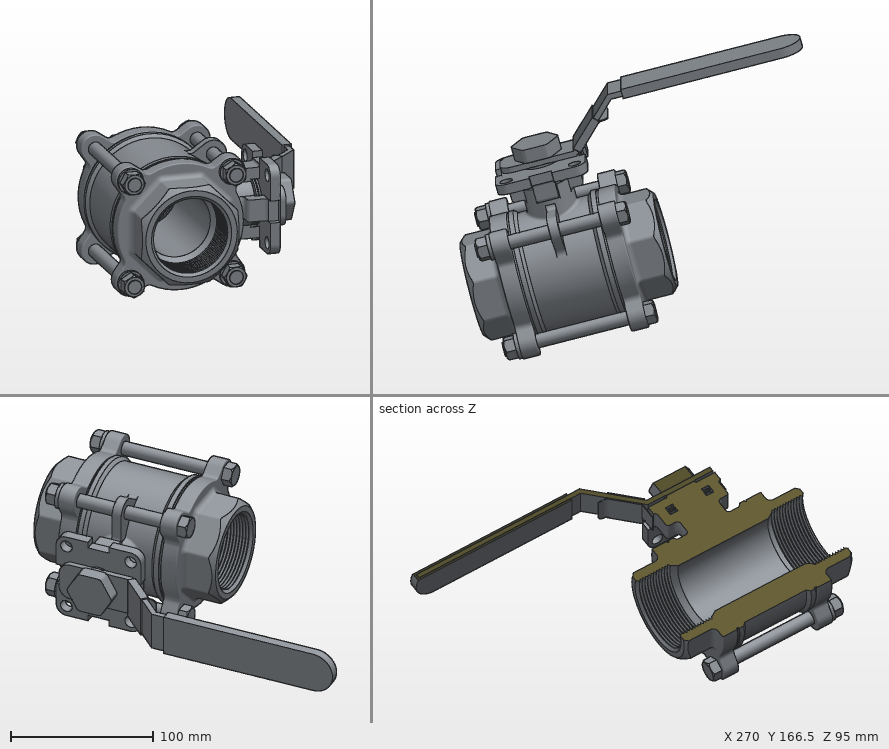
import cadquery as cq
import math


VALVE_HALF_LENGTH = 70.2
BORE_DIAMETER = 49.0
BODY_DIAMETER = 88.0
FLANGE_DIAMETER = 93.0
CAP_FLANGE_INNER = 33.2
CAP_FLANGE_OUTER = 45.5
FLANGE_EDGE_RADIUS = 0.8
JOINT_GROOVE_WIDTH = 1.4
JOINT_GROOVE_DEPTH = 1.0
COLLAR_CYLINDER_END = 28.0
COLLAR_TAPER_END = 25.6

OCTAGON_ACROSS_FLATS = 71.3
OCTAGON_CORNER_RADIUS = 3.2
OCTAGON_ROOT_RADIUS = 4.0
OCTAGON_FACE_DIAMETER = 67.5
THREAD_CREST_DIAMETER = 54.8
THREAD_ROOT_DIAMETER = 58.0
THREAD_MOUTH_DIAMETER = 59.0
THREAD_PITCH = 2.32
THREAD_TURNS = 11
THREAD_SEAT_LENGTH = 4.9

BOLT_OFFSET = 37.5
EAR_RADIUS = 10.0
EAR_ROOT_REACH = 37.3
EAR_FLANK_TAPER = 10.4
EAR_FILLET = 4.9
ROD_DIAMETER = 10.0
HEAD_ACROSS_FLATS = 14.5
HEAD_HEIGHT = 7.3
HEAD_FACE_DIAMETER = 14.3
WASHER_DIAMETER = 18.4
WASHER_THICKNESS = 2.7
NUT_HEIGHT = 7.8
ROD_OVERHANG = 1.0
LUG_WIDTH = 7.0
LUG_NECK_FILLET = 3.5

NECK_DIAMETER = 36.0
NECK_TOP = 64.0
NECK_FILLET = 2.2
GLAND_DIAMETER = 28.0
SPRING_DIAMETER = 36.0
SPRING_THICKNESS = 1.4
SPRING_COUNT = 2
SPRING_CHAMBER_DIAMETER = 38.5
PLATE_BOTTOM = 70.5
PLATE_TOP = 77.8
PLATE_HALF_SIDE = 32.7
PLATE_CORNER_RADIUS = 7.8
PLATE_HOLE_OFFSET = 24.8
PLATE_HOLE_DIAMETER = 9.0
RIB_REACH = 26.0
RIB_WIDTH = 16.2
RIB_BOTTOM = 56.2
RIB_EDGE_RADIUS = 2.2
RIB_PLATE_FILLET = 2.2
RIB_NECK_FILLET = 2.7

LEVER_THICKNESS = 4.0
LEVER_WIDTH = 28.0
LEVER_LOW_Y = 81.5
LEVER_HIGH_Y = 115.5
LEVER_FOOT_END = 27.8
LEVER_FOOT_CORNER = 8.6
LEVER_BEND_ANGLE = 45
LOW_KNEE_X = -26.2
LEVER_TIP_INSET = 1.4
GRIP_THICKNESS = 7.0
GRIP_WIDTH = 30.2
GRIP_TIP = -199.8
GRIP_MOUTH = -69.5

SLIDE_WALL = 0.95
SLIDE_START = 2.7
SLIDE_END = 29.2
TAB_TIP = -55.0
TAB_ROOT = -47.5
TAB_Y = 100.2
TAB_CORNER_RADIUS = 4.0
TAB_BEND_RADIUS = 5.5
SHEET = 0.8
LEG_X = -30.0
LEG_TOP = 82.0
LEG_BOTTOM = 68.0
LEG_SHOULDER_Y = 78.3
LEG_SHOULDER_WIDTH = 17.0
LEG_TIP_WIDTH = 15.5

STEM_NUT_ACROSS_FLATS = 30.2
STEM_NUT_HEIGHT = 10.0
STEM_NUT_CORNER_RADIUS = 3.5

LEVER_UNDERSIDE = LEVER_LOW_Y - LEVER_THICKNESS / 2
LEVER_TOPSIDE = LEVER_LOW_Y + LEVER_THICKNESS / 2
HIGH_KNEE_X = LOW_KNEE_X - (LEVER_HIGH_Y - LEVER_LOW_Y) / math.tan(math.radians(LEVER_BEND_ANGLE))
BOLT_RADIUS = BOLT_OFFSET * math.sqrt(2)
HEXAGON_CORNER_RATIO = 1 / math.cos(math.pi / 6)
OCTAGON_HALF_STEP = 180 / 8
OCTAGON_CORNER_RATIO = 1 / math.cos(math.radians(OCTAGON_HALF_STEP))
EAR_ANGLES = (45, 135, 225, 315)
LUG_ANGLES = (45, 315)
QUARTER_TURNS = (0, 90, 180, 270)

TOLERANCE = 0.03


def disc_x(x_start, x_end, diameter):
    """Cylinder along X on the bore axis."""
    return cq.Workplane("YZ", origin=(x_start, 0, 0)).circle(diameter / 2).extrude(x_end - x_start)


def disc_y(y_start, y_end, diameter):
    """Cylinder along Y on the stem axis."""
    return cq.Workplane("XZ", origin=(0, y_start, 0)).circle(diameter / 2).extrude(y_start - y_end)


def block(x_range, y_range, z_range):
    """Box given by its limits along each axis."""
    sizes = [high - low for low, high in (x_range, y_range, z_range)]
    return cq.Workplane("XY", origin=(x_range[0], y_range[0], z_range[0])).box(*sizes, centered=False)


def zone_around(center, *sizes):
    """Selector for edges whose centers lie in a box of the given sizes."""
    low = tuple(middle - size / 2 for middle, size in zip(center, sizes))
    high = tuple(middle + size / 2 for middle, size in zip(center, sizes))
    return cq.selectors.BoxSelector(low, high)


def turn_down(bar, face_x, root_x, face_diameter):
    """Trim the corners of a bar along X with a 45-degree cone, leaving a round face at face_x."""
    length = abs(face_x - root_x)
    cone = (
        cq.Workplane("YZ", origin=(root_x, 0, 0))
        .circle(face_diameter / 2 + length)
        .workplane(offset=face_x - root_x)
        .circle(face_diameter / 2)
        .loft()
    )
    return bar.intersect(cone)


def ear(x_start, x_end, angle):
    """Bolt ear: a rounded tip on flanks that widen toward the bore axis."""
    taper = math.radians(EAR_FLANK_TAPER)
    tip_reach = BOLT_RADIUS + EAR_RADIUS * math.sin(taper)
    tip_half = EAR_RADIUS * math.cos(taper)
    root_half = tip_half + (tip_reach - EAR_ROOT_REACH) * math.tan(taper)
    outline = (
        cq.Workplane("YZ", origin=(x_start, 0, 0))
        .moveTo(EAR_ROOT_REACH, -root_half)
        .lineTo(tip_reach, -tip_half)
        .threePointArc((BOLT_RADIUS + EAR_RADIUS, 0), (tip_reach, tip_half))
        .lineTo(EAR_ROOT_REACH, root_half)
        .close()
    )
    return outline.extrude(x_end - x_start).rotate((0, 0, 0), (1, 0, 0), angle)


def eared_disc(x_start, x_end, diameter, ear_angles):
    """Disc with bolt ears whose roots are blended into its rim."""
    disc = disc_x(x_start, x_end, diameter)
    for angle in ear_angles:
        disc = disc.union(ear(x_start, x_end, angle))

    def is_ear_root(edge):
        center = edge.Center()
        on_rim = abs(math.hypot(center.y, center.z) - diameter / 2) < TOLERANCE
        off_axes = min(abs(center.y), abs(center.z)) > TOLERANCE
        return on_rim and off_axes

    roots = [edge for edge in disc.edges("|X").vals() if is_ear_root(edge)]
    return disc.newObject(roots).fillet(EAR_FILLET)


def thread_cutter():
    """Ring-grooved cutter for the right-hand cap thread, with a conical seat and a chamfered mouth."""
    crest = THREAD_CREST_DIAMETER / 2
    root = THREAD_ROOT_DIAMETER / 2
    mouth = THREAD_MOUTH_DIAMETER / 2
    depth_end = VALVE_HALF_LENGTH - THREAD_PITCH * THREAD_TURNS - (mouth - crest)
    seat_end = depth_end - THREAD_SEAT_LENGTH
    outline = [(seat_end, 0), (seat_end, BORE_DIAMETER / 2), (depth_end, crest)]
    for turn in range(THREAD_TURNS):
        groove_start = depth_end + turn * THREAD_PITCH
        outline.append((groove_start + THREAD_PITCH / 2, root))
        outline.append((groove_start + THREAD_PITCH, crest))
    outline += [(VALVE_HALF_LENGTH, mouth), (VALVE_HALF_LENGTH, 0)]
    return cq.Workplane("XY").polyline(outline).close().revolve(360, (0, 0, 0), (1, 0, 0))


def make_cap():
    """Right-hand end cap: eared flange, octagon end and thread."""
    flange = eared_disc(CAP_FLANGE_INNER, CAP_FLANGE_OUTER, FLANGE_DIAMETER, EAR_ANGLES)
    flange = flange.faces("<X or >X").edges().fillet(FLANGE_EDGE_RADIUS)
    octagon = (
        cq.Workplane("YZ", origin=(CAP_FLANGE_OUTER, 0, 0))
        .polygon(8, OCTAGON_ACROSS_FLATS * OCTAGON_CORNER_RATIO)
        .extrude(VALVE_HALF_LENGTH - CAP_FLANGE_OUTER)
        .rotate((0, 0, 0), (1, 0, 0), OCTAGON_HALF_STEP)
        .edges("|X")
        .fillet(OCTAGON_CORNER_RADIUS)
    )
    octagon = turn_down(octagon, VALVE_HALF_LENGTH, CAP_FLANGE_OUTER, OCTAGON_FACE_DIAMETER)
    cap = flange.union(octagon)
    root_zone = zone_around((CAP_FLANGE_OUTER, 0, 0), TOLERANCE, OCTAGON_ACROSS_FLATS, OCTAGON_ACROSS_FLATS)
    return cap.edges(root_zone).fillet(OCTAGON_ROOT_RADIUS).cut(thread_cutter())


def make_body_barrel():
    """Central barrel with a tapered collar and a joint groove at each end."""
    barrel_radius = BODY_DIAMETER / 2
    collar_radius = FLANGE_DIAMETER / 2
    groove_radius = collar_radius - JOINT_GROOVE_DEPTH
    groove_start = CAP_FLANGE_INNER - JOINT_GROOVE_WIDTH
    half_outline = [
        (COLLAR_TAPER_END, barrel_radius),
        (COLLAR_CYLINDER_END, collar_radius),
        (groove_start, collar_radius),
        (groove_start, groove_radius),
        (CAP_FLANGE_INNER, groove_radius),
        (CAP_FLANGE_INNER, 0),
    ]
    outline = half_outline + [(-x, radius) for x, radius in reversed(half_outline)]
    return cq.Workplane("XY").polyline(outline).close().revolve(360, (0, 0, 0), (1, 0, 0))


def make_lugs():
    """Middle lugs around the two bolts beside the neck, tied to the neck by a flat web."""
    lugs = eared_disc(-LUG_WIDTH / 2, LUG_WIDTH / 2, BODY_DIAMETER, LUG_ANGLES)
    edge_y = BOLT_OFFSET + EAR_RADIUS
    neck_z = NECK_DIAMETER / 2
    for side in (1, -1):
        web = (
            cq.Workplane("YZ", origin=(-LUG_WIDTH / 2, 0, 0))
            .moveTo(0, 0)
            .lineTo(edge_y + LUG_NECK_FILLET, 0)
            .lineTo(edge_y + LUG_NECK_FILLET, side * neck_z)
            .radiusArc((edge_y, side * (neck_z + LUG_NECK_FILLET)), side * LUG_NECK_FILLET)
            .lineTo(edge_y, side * BOLT_OFFSET)
            .lineTo(BOLT_OFFSET, side * BOLT_OFFSET)
            .close()
            .extrude(LUG_WIDTH)
        )
        lugs = lugs.union(web)
    return lugs


def make_ribbed_neck():
    """Upper half of the neck with four ribs that carry the actuator plate."""
    rib = (
        cq.Workplane("XY", origin=(0, 0, -RIB_WIDTH / 2))
        .moveTo(0, RIB_BOTTOM)
        .lineTo(RIB_REACH, RIB_BOTTOM)
        .lineTo(RIB_REACH, PLATE_BOTTOM - RIB_PLATE_FILLET)
        .radiusArc((RIB_REACH + RIB_PLATE_FILLET, PLATE_BOTTOM), RIB_PLATE_FILLET)
        .lineTo(0, PLATE_BOTTOM)
        .close()
        .extrude(RIB_WIDTH)
        .edges("|Z")
        .edges(cq.selectors.NearestToPointSelector((RIB_REACH, RIB_BOTTOM, 0)))
        .fillet(RIB_EDGE_RADIUS)
    )
    neck = disc_y(BODY_DIAMETER / 2, NECK_TOP, NECK_DIAMETER)
    for angle in QUARTER_TURNS:
        neck = neck.union(rib.rotate((0, 0, 0), (0, 1, 0), angle))
    root_zone = zone_around((0, RIB_BOTTOM, 0), NECK_DIAMETER, TOLERANCE, NECK_DIAMETER)
    rib_roots = neck.edges("%CIRCLE").edges(root_zone)
    return rib_roots.fillet(RIB_NECK_FILLET)


def make_mounting_head():
    """Ribbed neck, square actuator plate and gland on top of the neck."""
    half_rib = RIB_WIDTH / 2
    notch_floor = RIB_REACH + RIB_PLATE_FILLET
    plate = (
        cq.Workplane("XZ", origin=(0, PLATE_BOTTOM, 0))
        .rect(2 * PLATE_HALF_SIDE, 2 * PLATE_HALF_SIDE)
        .extrude(PLATE_BOTTOM - PLATE_TOP)
        .edges("|Y")
        .fillet(PLATE_CORNER_RADIUS)
    )
    holes = (
        cq.Workplane("XZ", origin=(0, PLATE_BOTTOM, 0))
        .rect(2 * PLATE_HOLE_OFFSET, 2 * PLATE_HOLE_OFFSET, forConstruction=True)
        .vertices()
        .circle(PLATE_HOLE_DIAMETER / 2)
        .extrude(PLATE_BOTTOM - PLATE_TOP)
    )
    notch = block((notch_floor, PLATE_HALF_SIDE), (PLATE_BOTTOM, PLATE_TOP), (-half_rib, half_rib))
    plate = plate.cut(holes)
    for angle in QUARTER_TURNS:
        plate = plate.cut(notch.rotate((0, 0, 0), (0, 1, 0), angle))
    head = plate.union(make_ribbed_neck()).cut(disc_y(NECK_TOP, PLATE_BOTTOM, SPRING_CHAMBER_DIAMETER))
    head = head.union(disc_y(NECK_TOP, LEVER_UNDERSIDE, GLAND_DIAMETER))
    spring_step = (PLATE_BOTTOM - NECK_TOP) / (SPRING_COUNT + 1)
    for index in range(SPRING_COUNT):
        spring_y = NECK_TOP + (index + 1) * spring_step - SPRING_THICKNESS / 2
        head = head.union(disc_y(spring_y, spring_y + SPRING_THICKNESS, SPRING_DIAMETER))
    return head


def hexagon(root_x, face_x, turn):
    """Hexagon head along X with a turned-down outer face, its outline turned by the given angle."""
    bar = (
        cq.Workplane("YZ", origin=(root_x, 0, 0))
        .polygon(6, HEAD_ACROSS_FLATS * HEXAGON_CORNER_RATIO)
        .extrude(face_x - root_x)
        .rotate((0, 0, 0), (1, 0, 0), turn)
    )
    return turn_down(bar, face_x, root_x, HEAD_FACE_DIAMETER)


def make_bolt(y, z):
    """Through bolt with its head on the left and washer and nut on the right."""
    turn = 90 if y * z > 0 else 0
    washer_end = CAP_FLANGE_OUTER + WASHER_THICKNESS
    nut_end = washer_end + NUT_HEIGHT
    head = hexagon(-CAP_FLANGE_OUTER, -CAP_FLANGE_OUTER - HEAD_HEIGHT, turn)
    nut = hexagon(washer_end, nut_end, turn)
    rod = disc_x(-CAP_FLANGE_OUTER, nut_end + ROD_OVERHANG, ROD_DIAMETER)
    washer = disc_x(CAP_FLANGE_OUTER, washer_end, WASHER_DIAMETER)
    return rod.union(head).union(washer).union(nut).translate((0, y, z))


def make_valve():
    """Valve housing with its caps, neck, mounting head and bolts."""
    neck = disc_y(0, RIB_BOTTOM, NECK_DIAMETER)
    valve = make_body_barrel().union(neck)
    neck_root = valve.edges("%BSPLINE")
    valve = neck_root.fillet(NECK_FILLET).union(make_lugs()).union(make_mounting_head())
    cap = make_cap()
    valve = valve.union(cap).union(cap.mirror("YZ"))
    valve = valve.cut(disc_x(-VALVE_HALF_LENGTH, VALVE_HALF_LENGTH, BORE_DIAMETER))
    for y in (-BOLT_OFFSET, BOLT_OFFSET):
        for z in (-BOLT_OFFSET, BOLT_OFFSET):
            valve = valve.union(make_bolt(y, z))
    return valve


def make_lever():
    """Flat bar with two opposite bends and a round tip inside the grip."""
    half = LEVER_THICKNESS / 2
    miter = half * math.tan(math.radians(LEVER_BEND_ANGLE / 2))
    tip = GRIP_TIP + LEVER_TIP_INSET
    outline = [
        (LEVER_FOOT_END, LEVER_LOW_Y - half),
        (LEVER_FOOT_END, LEVER_LOW_Y + half),
        (LOW_KNEE_X + miter, LEVER_LOW_Y + half),
        (HIGH_KNEE_X + miter, LEVER_HIGH_Y + half),
        (tip, LEVER_HIGH_Y + half),
        (tip, LEVER_HIGH_Y - half),
        (HIGH_KNEE_X - miter, LEVER_HIGH_Y - half),
        (LOW_KNEE_X - miter, LEVER_LOW_Y - half),
    ]
    bar = cq.Workplane("XY").polyline(outline).close().extrude(LEVER_WIDTH / 2, both=True)
    bar = bar.edges("|Y and >X").fillet(LEVER_FOOT_CORNER)
    return bar.edges("|Y and <X").fillet(LEVER_WIDTH / 2 - TOLERANCE)


def make_grip(lever):
    """Round-ended sleeve over the straight end of the lever."""
    grip_bottom = LEVER_HIGH_Y - GRIP_THICKNESS / 2
    radius = GRIP_WIDTH / 2
    grip = (
        cq.Workplane("XZ", origin=(0, grip_bottom, 0))
        .moveTo(GRIP_MOUTH, -radius)
        .lineTo(GRIP_TIP + radius, -radius)
        .threePointArc((GRIP_TIP, 0), (GRIP_TIP + radius, radius))
        .lineTo(GRIP_MOUTH, radius)
        .close()
        .extrude(-GRIP_THICKNESS)
    )
    return grip.cut(lever)


def make_lock_slide(lever):
    """Sheet slide around the sloping part of the lever, with a finger tab and a locking leg."""
    along_slope = (HIGH_KNEE_X - LOW_KNEE_X, LEVER_HIGH_Y - LEVER_LOW_Y, 0)
    slope = cq.Plane(origin=(LOW_KNEE_X, LEVER_LOW_Y, 0), xDir=along_slope, normal=(0, 0, 1))
    slide = (
        cq.Workplane(slope)
        .center((SLIDE_START + SLIDE_END) / 2, 0)
        .rect(SLIDE_END - SLIDE_START, LEVER_THICKNESS + 2 * SLIDE_WALL)
        .extrude(LEVER_WIDTH / 2 + SLIDE_WALL, both=True)
    )
    half_tab = LEVER_WIDTH / 2
    tab = (
        block((TAB_TIP, TAB_ROOT), (TAB_Y - SHEET / 2, TAB_Y + SHEET / 2), (-half_tab, half_tab))
        .edges("|Y and <X")
        .fillet(TAB_CORNER_RADIUS)
    )
    leg_x = (LEG_X - SHEET / 2, LEG_X + SHEET / 2)
    half_shoulder = LEG_SHOULDER_WIDTH / 2
    half_tip = LEG_TIP_WIDTH / 2
    shoulder = block(leg_x, (LEG_SHOULDER_Y, LEG_TOP), (-half_shoulder, half_shoulder))
    leg = block(leg_x, (LEG_BOTTOM, LEG_SHOULDER_Y), (-half_tip, half_tip))
    slide = slide.union(tab)
    tab_bend = slide.edges("|Z").edges(
        cq.selectors.NearestToPointSelector((TAB_ROOT - SLIDE_WALL, TAB_Y - SHEET / 2, 0))
    )
    slide = tab_bend.fillet(TAB_BEND_RADIUS)
    return slide.union(shoulder).union(leg).cut(lever)


def make_stem_nut():
    """Hexagon nut on top of the lever foot."""
    return (
        cq.Workplane("XZ", origin=(0, LEVER_TOPSIDE, 0))
        .polygon(6, STEM_NUT_ACROSS_FLATS * HEXAGON_CORNER_RATIO)
        .extrude(-STEM_NUT_HEIGHT)
        .edges("|Y")
        .fillet(STEM_NUT_CORNER_RADIUS)
    )


valve = make_valve()
lever = make_lever()
grip = make_grip(lever)
lock_slide = make_lock_slide(lever)
stem_nut = make_stem_nut()

result = cq.Compound.makeCompound(
    [valve.val(), lever.val(), grip.val(), lock_slide.val(), stem_nut.val()]
)